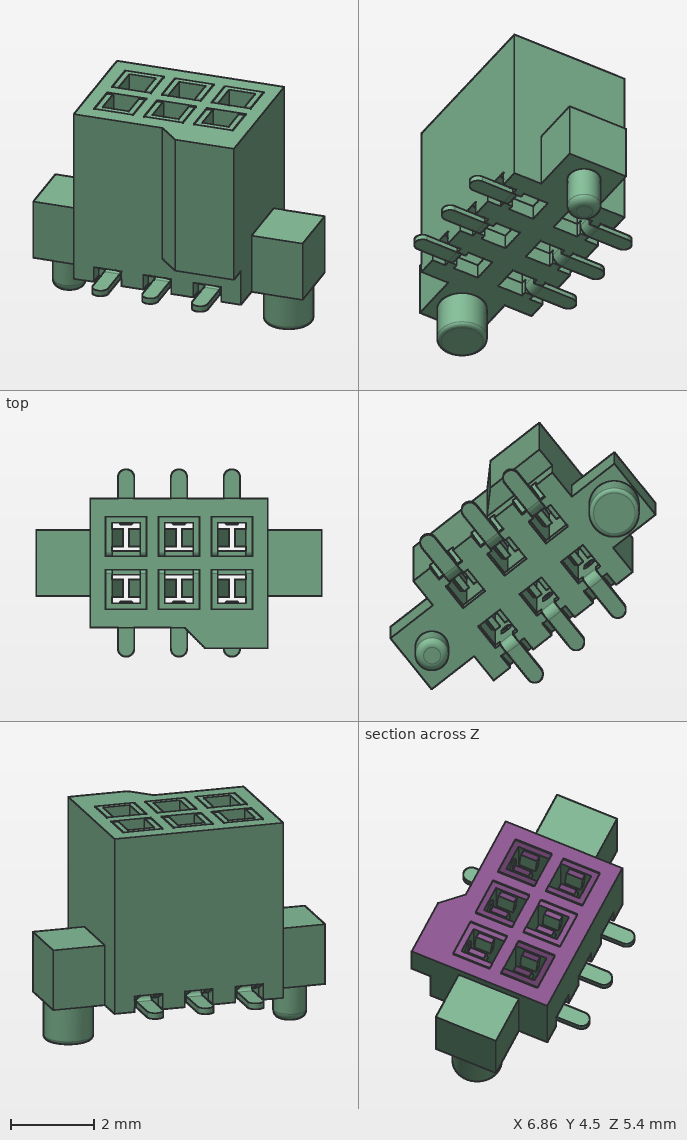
import cadquery as cq
import math


COLUMNS = 3
PITCH = 1.27
ROW_Y = PITCH / 2

BODY_LENGTH = 4.26
BODY_HALF_DEPTH = 1.55
BODY_HEIGHT = 4.4
KEY_DEPTH = 0.5
KEY_BOTTOM = 0.9
KEY_FLAT_START = 0.63

TOTAL_LENGTH = 6.86
EAR_DEPTH = 1.59
EAR_HEIGHT = 1.5
PEG_X = 2.79
PEG_LENGTH = 1.0
SMALL_PEG_DIAMETER = 0.8
SMALL_PEG_FILLET = 0.2
LARGE_PEG_DIAMETER = 1.2
LARGE_PEG_FILLET = 0.1

CAVITY_WIDTH = 1.0
CAVITY_DEPTH = 0.955
CAVITY_INNER_Y = ROW_Y - CAVITY_DEPTH / 2
CAVITY_OUTER_Y = ROW_Y + CAVITY_DEPTH / 2
FLOOR_HEIGHT = 0.4
FLOOR_LEDGE = 0.13

SLOT_WIDTH = 0.71
SLOT_DEPTH = 0.36
SLOT_WALL_HEIGHT = 0.2

SHEET = 0.15
CONTACT_WIDTH = 0.975
LEG_END_RADIUS = 0.09
SPRING_WIDTH = 0.425
SPRING_Y = 0.605
SPRING_ROOT_Z = 2.4
SPRING_LEAN = 14.5
SPRING_GAP = 0.14
TAIL_WIDTH = 0.4
TAIL_TIP_Y = 2.25
TAIL_BEND_RADIUS = 0.1
DIMPLE_BASE_DIAMETER = 0.33
DIMPLE_TIP_DIAMETER = 0.25
DIMPLE_HEIGHT = 0.04

column_positions = [(i - (COLUMNS - 1) / 2) * PITCH for i in range(COLUMNS)]
contact_places = [(x, turn) for x in column_positions for turn in (0, 180)]
contact_wall_y = CAVITY_OUTER_Y - SHEET
contact_inner_x = CONTACT_WIDTH / 2 - SHEET
spring_lean = math.radians(SPRING_LEAN)
spring_tip_z = SPRING_ROOT_Z - (contact_inner_x - SPRING_GAP / 2) / math.tan(spring_lean)


def box(x_range, y_range, z_range):
    """Axis-aligned box between pairs of limits."""
    return (
        cq.Workplane("XY")
        .box(
            x_range[1] - x_range[0],
            y_range[1] - y_range[0],
            z_range[1] - z_range[0],
            centered=False,
        )
        .translate((x_range[0], y_range[0], z_range[0]))
    )


def centered_box(width, y_range, z_range):
    """Box that is symmetric about X = 0."""
    return box((-width / 2, width / 2), y_range, z_range)


def extrude_along_x(profile, width):
    """Extrude a closed YZ profile symmetrically about X = 0."""
    return profile.extrude(width / 2, both=True)


def place(shape, x, turn):
    """Move a shape from the +Y row at X = 0 to its column, turning it into the -Y row if needed."""
    return shape.rotate((0, 0, 0), (0, 0, 1), turn).translate((x, 0, 0))


def make_key():
    """Polarising rib on the -Y face, with one 45 degree flank, running out at the +X end."""
    face_y = -BODY_HALF_DEPTH
    outline = [
        (KEY_FLAT_START - KEY_DEPTH, face_y),
        (KEY_FLAT_START, face_y - KEY_DEPTH),
        (BODY_LENGTH / 2, face_y - KEY_DEPTH),
        (BODY_LENGTH / 2, face_y),
    ]
    return (
        cq.Workplane("XY")
        .workplane(offset=KEY_BOTTOM)
        .polyline(outline)
        .close()
        .extrude(BODY_HEIGHT - KEY_BOTTOM)
    )


def make_peg(x, diameter, fillet):
    """Round locating peg below the board plane, with a rounded tip."""
    return (
        cq.Workplane("XY")
        .center(x, 0)
        .circle(diameter / 2)
        .extrude(-PEG_LENGTH)
        .faces("<Z")
        .edges()
        .fillet(fillet)
    )


def make_cavity():
    """Contact pocket from the top, with a smaller window through its floor."""
    pocket = centered_box(
        CAVITY_WIDTH, (CAVITY_INNER_Y, CAVITY_OUTER_Y), (FLOOR_HEIGHT, BODY_HEIGHT)
    )
    window = centered_box(
        2 * contact_inner_x,
        (CAVITY_INNER_Y + FLOOR_LEDGE, contact_wall_y),
        (0, FLOOR_HEIGHT),
    )
    return pocket.union(window)


def make_tail_slot():
    """Undercut slot in the bottom edge, plus the channel that leads the stem out of the cavity."""
    slot_y = BODY_HALF_DEPTH - SLOT_DEPTH
    profile = (
        cq.Workplane("YZ")
        .moveTo(BODY_HALF_DEPTH, 0)
        .lineTo(BODY_HALF_DEPTH, FLOOR_HEIGHT)
        .lineTo(slot_y, SLOT_WALL_HEIGHT)
        .lineTo(slot_y, 0)
        .close()
    )
    slot = extrude_along_x(profile, SLOT_WIDTH)
    channel = centered_box(TAIL_WIDTH, (contact_wall_y, BODY_HALF_DEPTH), (0, FLOOR_HEIGHT))
    return slot.union(channel)


def make_housing():
    depth_range = (-BODY_HALF_DEPTH, BODY_HALF_DEPTH)
    block = centered_box(BODY_LENGTH, depth_range, (0, BODY_HEIGHT))
    ears = centered_box(TOTAL_LENGTH, (-EAR_DEPTH / 2, EAR_DEPTH / 2), (0, EAR_HEIGHT))
    body = block.union(make_key()).union(ears)
    body = body.union(make_peg(-PEG_X, SMALL_PEG_DIAMETER, SMALL_PEG_FILLET))
    body = body.union(make_peg(PEG_X, LARGE_PEG_DIAMETER, LARGE_PEG_FILLET))
    opening = make_cavity().union(make_tail_slot())
    for x, turn in contact_places:
        body = body.cut(place(opening, x, turn))
    return body


def make_shell():
    """U-shaped contact wall, open towards the other row, with rounded upper leg ends."""
    height_range = (FLOOR_HEIGHT, BODY_HEIGHT)
    outer = centered_box(CONTACT_WIDTH, (CAVITY_INNER_Y, CAVITY_OUTER_Y), height_range)
    inside = centered_box(2 * contact_inner_x, (CAVITY_INNER_Y, contact_wall_y), height_range)
    return outer.cut(inside).faces(">Z").edges("<Y").fillet(LEG_END_RADIUS)


def make_spring():
    """Straight spring arm that leans from the +X leg down towards the middle."""
    root_x = contact_inner_x
    tip_x = SPRING_GAP / 2
    level_thickness = SHEET / math.cos(spring_lean)
    outline = [
        (root_x, SPRING_ROOT_Z),
        (tip_x, spring_tip_z),
        (tip_x + level_thickness, spring_tip_z),
        (root_x + SHEET, SPRING_ROOT_Z - (level_thickness - SHEET) / math.tan(spring_lean)),
        (root_x + SHEET, SPRING_ROOT_Z),
    ]
    return (
        cq.Workplane("XZ")
        .polyline(outline)
        .close()
        .extrude(SPRING_WIDTH / 2, both=True)
        .translate((0, SPRING_Y, 0))
    )


def make_dimple():
    """Tapered round dimple on the inner face of the wall, level with the spring tips."""
    dimple = cq.Solid.makeCone(
        DIMPLE_BASE_DIAMETER / 2,
        DIMPLE_TIP_DIAMETER / 2,
        DIMPLE_HEIGHT,
        cq.Vector(0, contact_wall_y, spring_tip_z),
        cq.Vector(0, -1, 0),
    )
    return cq.Workplane("XY").add(dimple)


def make_tail():
    """Stem below the shell, flush with its wall, bent out into a round-ended solder tail."""
    outer_y = CAVITY_OUTER_Y
    inner_y = contact_wall_y
    inner_radius = TAIL_BEND_RADIUS
    outer_radius = inner_radius + SHEET
    bend_y = outer_y + inner_radius
    bend_z = outer_radius
    diagonal = math.sqrt(0.5)
    profile = (
        cq.Workplane("YZ")
        .moveTo(outer_y, FLOOR_HEIGHT)
        .lineTo(outer_y, bend_z)
        .threePointArc(
            (bend_y - inner_radius * diagonal, bend_z - inner_radius * diagonal),
            (bend_y, SHEET),
        )
        .lineTo(TAIL_TIP_Y, SHEET)
        .lineTo(TAIL_TIP_Y, 0)
        .lineTo(bend_y, 0)
        .threePointArc(
            (bend_y - outer_radius * diagonal, bend_z - outer_radius * diagonal),
            (inner_y, bend_z),
        )
        .lineTo(inner_y, FLOOR_HEIGHT)
        .close()
    )
    strip = extrude_along_x(profile, TAIL_WIDTH)
    tip_end = cq.Workplane("XY").center(0, TAIL_TIP_Y - TAIL_WIDTH / 2).circle(TAIL_WIDTH / 2)
    straight = centered_box(TAIL_WIDTH, (0, TAIL_TIP_Y - TAIL_WIDTH / 2), (0, BODY_HEIGHT))
    return strip.intersect(straight.union(tip_end.extrude(BODY_HEIGHT)))


def make_contact():
    spring = make_spring()
    contact = make_shell().union(make_dimple()).union(make_tail())
    return contact.union(spring).union(spring.mirror("YZ"))


housing = make_housing()
contact = make_contact()
contacts = [place(contact, x, turn) for x, turn in contact_places]

result = cq.Compound.makeCompound([housing.val(), *[copy.val() for copy in contacts]])